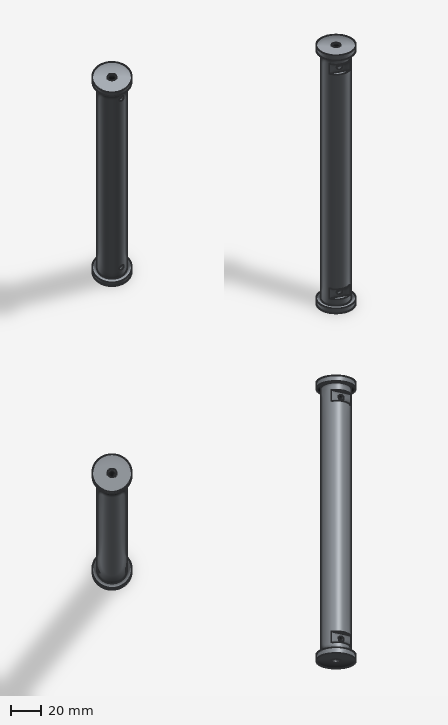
import cadquery as cq

length = 199.0
flange_diameter = 26.0
flange_thickness = 4.0
body_diameter = 20.0

bore_diameter = 6.0

flat_height = 7.8
flat_depth = 3.2
flat_center_from_end = 13.0
cross_hole_diameter = 4.0

body_radius = body_diameter / 2
flat_offset = length / 2 - flat_center_from_end


def make_spool():
    """Round bar centred on the origin, with a flange at each end."""
    spool = cq.Workplane("XY").circle(body_radius).extrude(length / 2, both=True)
    for bottom in (-length / 2, length / 2 - flange_thickness):
        flange = (
            cq.Workplane("XY")
            .workplane(offset=bottom)
            .circle(flange_diameter / 2)
            .extrude(flange_thickness)
        )
        spool = spool.union(flange)
    return spool


def make_flat_cutter(z):
    """Block that leaves a flat seat across the -X side of the bar."""
    seat_x = -body_radius + flat_depth
    return cq.Workplane("XY").box(body_diameter, body_diameter, flat_height).translate(
        (seat_x - body_diameter / 2, 0, z)
    )


def make_cross_hole_cutter(z):
    """Cylinder along X that passes right through the bar."""
    return (
        cq.Workplane("YZ")
        .center(0, z)
        .circle(cross_hole_diameter / 2)
        .extrude(body_diameter, both=True)
    )


result = make_spool()
bore = cq.Workplane("XY").circle(bore_diameter / 2).extrude(length, both=True)
result = result.cut(bore)
for z in (-flat_offset, flat_offset):
    result = result.cut(make_flat_cutter(z))
    result = result.cut(make_cross_hole_cutter(z))